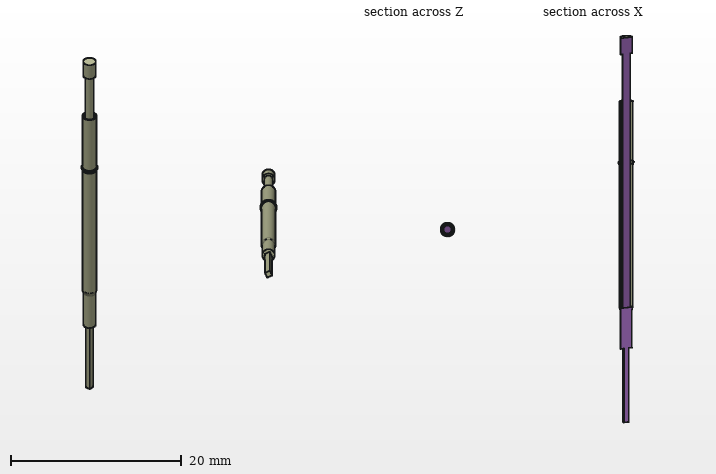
import cadquery as cq

probe_length = 46.85
tail_length = 9.0
sleeve_length = 4.65
taper_length = 0.35
head_length = 2.0
shaft_exposed_length = 5.85
ring_top_below_mouth = 7.28
ring_upper_slope_height = 0.125
ring_lower_slope_height = 0.3

head_diameter = 1.5
shaft_diameter = 1.0
bore_diameter = 1.38
barrel_diameter = 1.68
ring_diameter = 1.93
sleeve_diameter = 1.47
tail_width = 0.64

sleeve_bottom = tail_length
taper_bottom = sleeve_bottom + sleeve_length
barrel_bottom = taper_bottom + taper_length
head_bottom = probe_length - head_length
barrel_mouth = head_bottom - shaft_exposed_length
ring_top = barrel_mouth - ring_top_below_mouth
ring_crest = ring_top - ring_upper_slope_height
ring_bottom = ring_crest - ring_lower_slope_height
bore_bottom = barrel_bottom


def make_plunger():
    """Round shaft standing on the bore floor, with a wider flat head on top."""
    shaft = (
        cq.Workplane("XY")
        .workplane(offset=bore_bottom)
        .circle(shaft_diameter / 2)
        .extrude(head_bottom - bore_bottom)
    )
    head = (
        cq.Workplane("XY")
        .workplane(offset=head_bottom)
        .circle(head_diameter / 2)
        .extrude(head_length)
    )
    return shaft.union(head)


def make_receptacle():
    """Bored barrel with a press ring, tapering to a solid sleeve with a square tail."""
    barrel_radius = barrel_diameter / 2
    sleeve_radius = sleeve_diameter / 2
    body = (
        cq.Workplane("XZ")
        .moveTo(0, sleeve_bottom)
        .lineTo(sleeve_radius, sleeve_bottom)
        .lineTo(sleeve_radius, taper_bottom)
        .lineTo(barrel_radius, barrel_bottom)
        .lineTo(barrel_radius, ring_bottom)
        .lineTo(ring_diameter / 2, ring_crest)
        .lineTo(barrel_radius, ring_top)
        .lineTo(barrel_radius, barrel_mouth)
        .lineTo(0, barrel_mouth)
        .close()
        .revolve(360, (0, 0), (0, 1))
    )
    tail = cq.Workplane("XY").rect(tail_width, tail_width).extrude(tail_length)
    bore = (
        cq.Workplane("XY")
        .workplane(offset=bore_bottom)
        .circle(bore_diameter / 2)
        .extrude(barrel_mouth - bore_bottom)
    )
    return body.union(tail).cut(bore)


plunger = make_plunger()
receptacle = make_receptacle()

result = cq.Compound.makeCompound([receptacle.val(), plunger.val()])